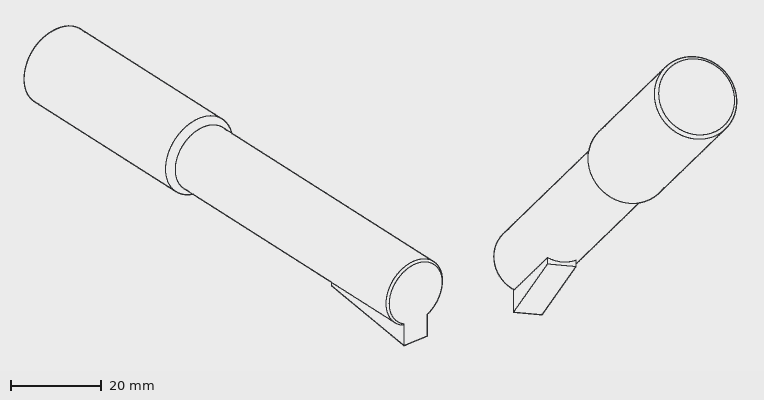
import cadquery as cq

total_length = 127.0
shank_diameter = 19.0
neck_diameter = 16.0
shank_length = 50.7
shank_chamfer = 0.8
neck_chamfer = 0.5

key_length = 25.7
key_width = 6.6
key_tip_depth = 12.3
key_root_depth = 8.8

shank_radius = shank_diameter / 2
neck_radius = neck_diameter / 2
step_height = shank_radius - neck_radius


def make_pin():
    """Turned body with chamfered ends and a 45 degree shoulder."""
    half_profile = [
        (0, 0),
        (0, shank_radius - shank_chamfer),
        (shank_chamfer, shank_radius),
        (shank_length, shank_radius),
        (shank_length + step_height, neck_radius),
        (total_length - neck_chamfer, neck_radius),
        (total_length, neck_radius - neck_chamfer),
        (total_length, 0),
    ]
    outline = cq.Workplane("XY").polyline(half_profile).close()
    return outline.revolve(360, (0, 0, 0), (1, 0, 0))


def make_key():
    """Wedge that starts on the pin axis and deepens toward the free end."""
    key_start = total_length - key_length
    side_profile = [
        (key_start, 0),
        (key_start, -key_root_depth),
        (total_length, -key_tip_depth),
        (total_length, 0),
    ]
    outline = cq.Workplane("XZ").polyline(side_profile).close()
    return outline.extrude(key_width / 2, both=True)


result = make_pin().union(make_key())